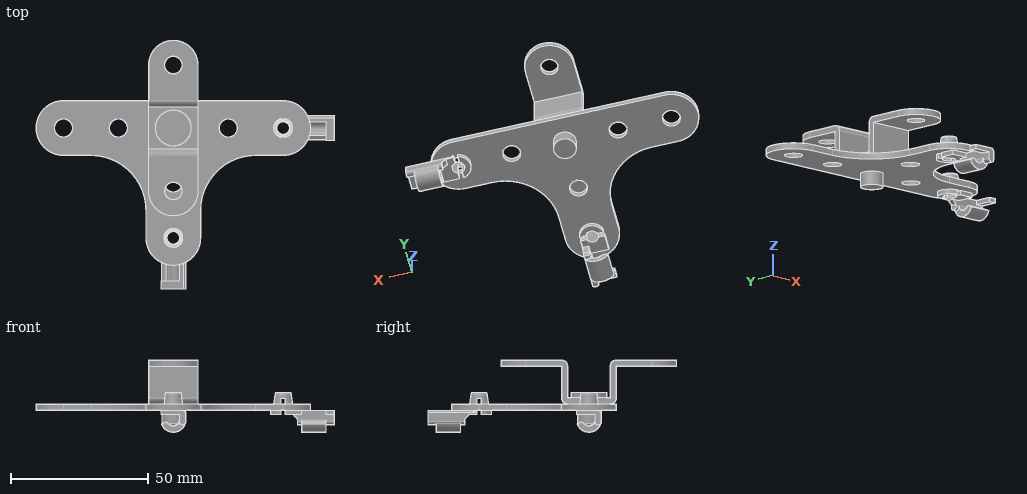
import cadquery as cq
import math


PLATE_THICKNESS = 2.3
ARM_RADIUS = 10.0
HOLE_PITCH = 2 * ARM_RADIUS
ARM_REACH = 2 * HOLE_PITCH
INNER_CORNER_RADIUS = HOLE_PITCH
PLATE_HOLE_RADIUS = 3.3

BRACKET_THICKNESS = 2.3
BRACKET_WIDTH = 18.0
BRACKET_HEIGHT = 16.0
BRACKET_HALF_LENGTH = 32.0
CHANNEL_HALF_WIDTH = ARM_RADIUS
BEND_RADIUS = 2.2
FLANGE_HOLE_RADIUS = 3.2

SHANK_RADIUS = 4.1
SHANK_TAIL = 5.0
RIVET_HEAD_RADIUS = 6.5
RIVET_HEAD_HEIGHT = 2.0

CLIP_HALF_WIDTH = 4.6
STUD_BORE_RADIUS = 2.3
CONE_BASE_RADIUS = 3.5
CONE_RIM_RADIUS = 2.9
CONE_TOP_RADIUS = 2.7
CONE_RIM_HEIGHT = 3.7
CONE_HEIGHT = 4.2
SLIT_WIDTH = 1.5
SLIT_HEIGHT = 2.0

TROUGH_RADIUS = 2.2
TROUGH_DEPTH = 3.5
FLANGE_RADIUS = CLIP_HALF_WIDTH
STRAP_THICKNESS = 1.6
STRAP_END = 6.7
TAB_START = 15.7
CLIP_END = 18.7
WALL_START = 5.2
WALL_DEPTH = 5.3
WALL_EDGE_BEVEL = 0.9
GUSSET_START = 3.6
LIP_PEAK = (-2.7, -4.2)
LIP_INNER_ACROSS = -1.6
LIP_OUTER_DROP = 5.0


def cylinder(radius, bottom, top):
    return cq.Workplane("XY").workplane(offset=bottom).circle(radius).extrude(top - bottom)


def block(x_range, y_range, z_range):
    size = [high - low for low, high in (x_range, y_range, z_range)]
    return cq.Workplane("XY").box(*size, centered=False).translate((x_range[0], y_range[0], z_range[0]))


def make_plate():
    """T-shaped plate with round arm ends and large concave corners."""
    corner = ARM_RADIUS + INNER_CORNER_RADIUS
    corner_mid = corner - INNER_CORNER_RADIUS * math.sqrt(0.5)
    plate = (
        cq.Workplane("XY")
        .moveTo(-ARM_REACH, ARM_RADIUS)
        .lineTo(ARM_REACH, ARM_RADIUS)
        .threePointArc((ARM_REACH + ARM_RADIUS, 0), (ARM_REACH, -ARM_RADIUS))
        .lineTo(corner, -ARM_RADIUS)
        .threePointArc((corner_mid, -corner_mid), (ARM_RADIUS, -corner))
        .lineTo(ARM_RADIUS, -ARM_REACH)
        .threePointArc((0, -ARM_REACH - ARM_RADIUS), (-ARM_RADIUS, -ARM_REACH))
        .lineTo(-ARM_RADIUS, -corner)
        .threePointArc((-corner_mid, -corner_mid), (-corner, -ARM_RADIUS))
        .lineTo(-ARM_REACH, -ARM_RADIUS)
        .threePointArc((-ARM_REACH - ARM_RADIUS, 0), (-ARM_REACH, ARM_RADIUS))
        .close()
        .extrude(-PLATE_THICKNESS)
    )
    side_holes = [(step * HOLE_PITCH, 0) for step in (-2, -1, 1, 2)]
    stem_holes = [(0, -step * HOLE_PITCH) for step in (1, 2)]
    hole_places = side_holes + stem_holes
    holes = cq.Workplane("XY").pushPoints(hole_places).circle(PLATE_HOLE_RADIUS).extrude(-PLATE_THICKNESS)
    return plate.cut(holes).cut(cylinder(SHANK_RADIUS, -PLATE_THICKNESS, 0))


def make_bracket():
    """Hat-section strap: a channel on the plate with a round-ended flange on each side."""
    inner = CHANNEL_HALF_WIDTH - BRACKET_THICKNESS
    flange_bottom = BRACKET_HEIGHT - BRACKET_THICKNESS
    half_outline = [
        (CHANNEL_HALF_WIDTH, 0),
        (CHANNEL_HALF_WIDTH, flange_bottom),
        (BRACKET_HALF_LENGTH, flange_bottom),
        (BRACKET_HALF_LENGTH, BRACKET_HEIGHT),
        (inner, BRACKET_HEIGHT),
        (inner, BRACKET_THICKNESS),
    ]
    mirrored_half = [(-y, z) for y, z in reversed(half_outline)]
    half_width = BRACKET_WIDTH / 2
    bracket = (
        cq.Workplane("YZ")
        .polyline(half_outline + mirrored_half)
        .close()
        .extrude(half_width, both=True)
    )
    for side in (-1, 1):
        upper_bend = cq.selectors.NearestToPointSelector((0, side * inner, BRACKET_HEIGHT))
        lower_bend = cq.selectors.NearestToPointSelector((0, side * CHANNEL_HALF_WIDTH, 0))
        bracket = bracket.edges(upper_bend).fillet(BEND_RADIUS)
        bracket = bracket.edges(lower_bend).fillet(BEND_RADIUS)
    plan = cq.Workplane("XY").slot2D(2 * BRACKET_HALF_LENGTH, BRACKET_WIDTH, 90).extrude(BRACKET_HEIGHT)
    hole_place = BRACKET_HALF_LENGTH - half_width
    flange_holes = (
        cq.Workplane("XY")
        .pushPoints([(0, -hole_place), (0, hole_place)])
        .circle(FLANGE_HOLE_RADIUS)
        .extrude(BRACKET_HEIGHT)
    )
    shank_hole = cylinder(SHANK_RADIUS, 0, BRACKET_THICKNESS)
    return bracket.intersect(plan).cut(flange_holes).cut(shank_hole)


def make_rivet():
    """Plain shank through plate and bracket with a flat head inside the channel."""
    shank = cylinder(SHANK_RADIUS, -PLATE_THICKNESS - SHANK_TAIL, BRACKET_THICKNESS)
    head = cylinder(RIVET_HEAD_RADIUS, BRACKET_THICKNESS, BRACKET_THICKNESS + RIVET_HEAD_HEIGHT)
    return shank.union(head)


def make_stud():
    """Hollow snap stud: flange under the plate, shank in the hole and a cone above it."""
    flange_bottom = -PLATE_THICKNESS - STRAP_THICKNESS
    return (
        cq.Workplane("XZ")
        .polyline([
            (0, flange_bottom),
            (FLANGE_RADIUS, flange_bottom),
            (FLANGE_RADIUS, -PLATE_THICKNESS),
            (PLATE_HOLE_RADIUS, -PLATE_THICKNESS),
            (PLATE_HOLE_RADIUS, 0),
            (CONE_BASE_RADIUS, 0),
            (CONE_RIM_RADIUS, CONE_RIM_HEIGHT),
            (CONE_TOP_RADIUS, CONE_HEIGHT),
            (0, CONE_HEIGHT),
        ])
        .close()
        .revolve(360, (0, 0, 0), (0, 1, 0))
    )


def make_hook():
    """Wall hanging from the strap, carrying an end tab on top and a lipped trough below.

    Built with its top face at z = 0.
    """
    across = (-CLIP_HALF_WIDTH, CLIP_HALF_WIDTH)
    strap = block((0, STRAP_END), across, (-STRAP_THICKNESS, 0))
    tab = block((TAB_START, CLIP_END), across, (-STRAP_THICKNESS, 0))

    wall_mid = (TROUGH_RADIUS + CLIP_HALF_WIDTH) / 2
    round_start = -WALL_DEPTH + (CLIP_HALF_WIDTH - TROUGH_RADIUS) / 2
    wall = (
        cq.Workplane("YZ")
        .moveTo(TROUGH_RADIUS, 0)
        .lineTo(TROUGH_RADIUS, round_start)
        .threePointArc((wall_mid, -WALL_DEPTH), (CLIP_HALF_WIDTH, round_start))
        .lineTo(CLIP_HALF_WIDTH, 0)
        .close()
        .extrude(CLIP_END)
    )
    gusset_drop = STRAP_THICKNESS + WALL_START - GUSSET_START
    wall_side = (
        cq.Workplane("XZ")
        .polyline([
            (GUSSET_START, 0),
            (GUSSET_START, -STRAP_THICKNESS),
            (WALL_START, -gusset_drop),
            (WALL_START, -WALL_DEPTH),
            (CLIP_END, -WALL_DEPTH),
            (CLIP_END, 0),
        ])
        .close()
        .extrude(CLIP_HALF_WIDTH, both=True)
    )

    lip_outer = (-math.sqrt(CLIP_HALF_WIDTH**2 - (LIP_OUTER_DROP - TROUGH_DEPTH) ** 2), -LIP_OUTER_DROP)
    lip_inner = (LIP_INNER_ACROSS, -TROUGH_DEPTH - math.sqrt(TROUGH_RADIUS**2 - LIP_INNER_ACROSS**2))
    trough = (
        cq.Workplane("YZ")
        .workplane(offset=STRAP_END)
        .moveTo(CLIP_HALF_WIDTH, -TROUGH_DEPTH)
        .threePointArc((0, -TROUGH_DEPTH - CLIP_HALF_WIDTH), lip_outer)
        .lineTo(*LIP_PEAK)
        .lineTo(*lip_inner)
        .threePointArc((0, -TROUGH_DEPTH - TROUGH_RADIUS), (TROUGH_RADIUS, -TROUGH_DEPTH))
        .close()
        .extrude(TAB_START - STRAP_END)
    )

    edge_bevel = (
        cq.Workplane("YZ")
        .polyline([
            (CLIP_HALF_WIDTH - WALL_EDGE_BEVEL, 0),
            (CLIP_HALF_WIDTH, 0),
            (CLIP_HALF_WIDTH, -WALL_EDGE_BEVEL),
        ])
        .close()
        .extrude(CLIP_END)
    )
    return strap.union(tab).union(wall.intersect(wall_side)).union(trough).cut(edge_bevel)


def make_clip():
    """Cable clip pointing along +X, with its stud on the Z axis."""
    clip = make_stud().union(make_hook().translate((0, 0, -PLATE_THICKNESS)))
    flange_bottom = -PLATE_THICKNESS - STRAP_THICKNESS
    bore = cylinder(STUD_BORE_RADIUS, flange_bottom, CONE_HEIGHT)
    slit = block(
        (-SLIT_WIDTH / 2, SLIT_WIDTH / 2),
        (-CLIP_HALF_WIDTH, CLIP_HALF_WIDTH),
        (flange_bottom, SLIT_HEIGHT),
    )
    return clip.cut(bore).cut(slit)


plate = make_plate()
bracket = make_bracket()
rivet = make_rivet()

clips = []
for turn in (0, -90):
    clip = make_clip().translate((ARM_REACH, 0, 0)).rotate((0, 0, 0), (0, 0, 1), turn)
    clips.append(clip.val())

result = cq.Compound.makeCompound([plate.val(), bracket.val(), rivet.val(), *clips])